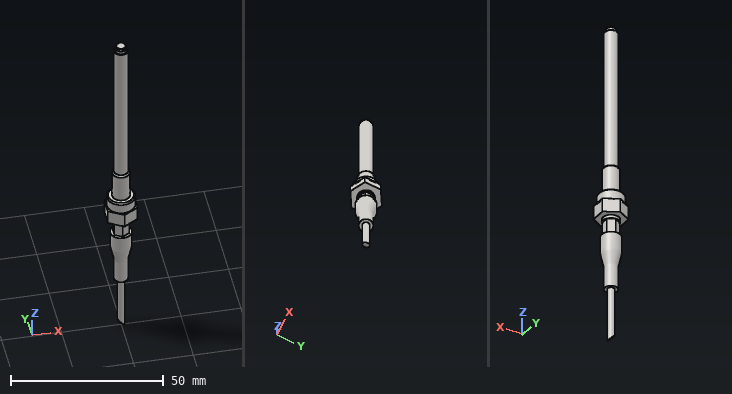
import cadquery as cq
import math


HEXAGON_SIDES = 6

sleeve_bottom_z = 20.0
sleeve_top_z = 28.0
taper_bottom_z = 28.5
taper_top_z = 33.2
bevel_top_z = 34.0
grip_top_z = 40.0
collar_bottom_z = 45.6
nut_bottom_z = 46.8
nut_top_z = 51.8
flange_top_z = 55.8
shank_top_z = 65.6
tube_top_z = 118.0
tip_top_z = 120.0

cable_diameter = 2.6
sleeve_diameter = 4.8
taper_bottom_diameter = 4.85
taper_top_diameter = 7.0
grip_diameter = 7.2
neck_flats = 5.0
collar_diameter = 6.0
nut_flats = 10.0
flange_diameter = 9.5
shank_diameter = 6.0
tube_diameter = 4.8
tip_diameter = 4.0
tip_end_diameter = 3.2

flange_chamfer = 0.5
seat_chamfer = (shank_diameter - tube_diameter) / 2
tip_chamfer = (tip_diameter - tip_end_diameter) / 2
tip_end_height = 0.45
tip_end_bottom_z = tip_top_z - tip_end_height
cable_cut_angle = 45.0


def cylinder(diameter, bottom_z, top_z):
    """Round section on the Z axis."""
    return cq.Workplane("XY").workplane(offset=bottom_z).circle(diameter / 2).extrude(top_z - bottom_z)


def hexagon(flats, bottom_z, top_z):
    """Hexagonal prism with two corners on the Y axis and two flats facing X."""
    half_side_angle = 180 / HEXAGON_SIDES
    corner_diameter = flats / math.cos(math.radians(half_side_angle))
    prism = cq.Workplane("XY").polygon(HEXAGON_SIDES, corner_diameter).extrude(top_z - bottom_z)
    return prism.rotate((0, 0, 0), (0, 0, 1), half_side_angle).translate((0, 0, bottom_z))


def cable():
    """Round cable whose lower end is cut obliquely, longest on the +X side."""
    radius = cable_diameter / 2
    cut_height = cable_diameter * math.tan(math.radians(cable_cut_angle))
    offcut = (
        cq.Workplane("XZ")
        .polyline([(-radius, 0), (radius, 0), (-radius, cut_height)])
        .close()
        .extrude(radius, both=True)
    )
    return cylinder(cable_diameter, 0, sleeve_bottom_z).cut(offcut)


def tapered_grip():
    """Cable sleeve widening through a taper and a shallow bevel into the grip."""
    sleeve_radius = sleeve_diameter / 2
    grip_radius = grip_diameter / 2
    return (
        cq.Workplane("XZ")
        .moveTo(0, sleeve_bottom_z)
        .lineTo(sleeve_radius, sleeve_bottom_z)
        .lineTo(sleeve_radius, sleeve_top_z)
        .lineTo(taper_bottom_diameter / 2, taper_bottom_z)
        .lineTo(taper_top_diameter / 2, taper_top_z)
        .lineTo(grip_radius, bevel_top_z)
        .lineTo(grip_radius, grip_top_z)
        .lineTo(0, grip_top_z)
        .close()
        .revolve(360, (0, 0, 0), (0, 1, 0))
    )


def fitting():
    """Hexagonal neck, collar, nut, flange and shank."""
    neck = hexagon(neck_flats, grip_top_z, collar_bottom_z)
    collar = cylinder(collar_diameter, collar_bottom_z, nut_bottom_z)
    nut = hexagon(nut_flats, nut_bottom_z, nut_top_z)
    flange = cylinder(flange_diameter, nut_top_z, flange_top_z).faces(">Z").chamfer(flange_chamfer)
    shank = cylinder(shank_diameter, flange_top_z, shank_top_z)
    return neck.union(collar).union(nut).union(flange).union(shank)


def probe_tube():
    """Probe tube with a conical seat on the shank and a stepped, chamfered tip."""
    tube = cylinder(tube_diameter, shank_top_z, tube_top_z)
    tip_body = cylinder(tip_diameter, tube_top_z, tip_end_bottom_z).faces(">Z").chamfer(tip_chamfer)
    tip_end = cylinder(tip_end_diameter, tip_end_bottom_z, tip_top_z)
    seat = (
        cq.Workplane("XY")
        .workplane(offset=shank_top_z)
        .circle(shank_diameter / 2)
        .workplane(offset=seat_chamfer)
        .circle(tube_diameter / 2)
        .loft()
    )
    return tube.union(seat).union(tip_body).union(tip_end)


result = cable().union(tapered_grip()).union(fitting()).union(probe_tube())